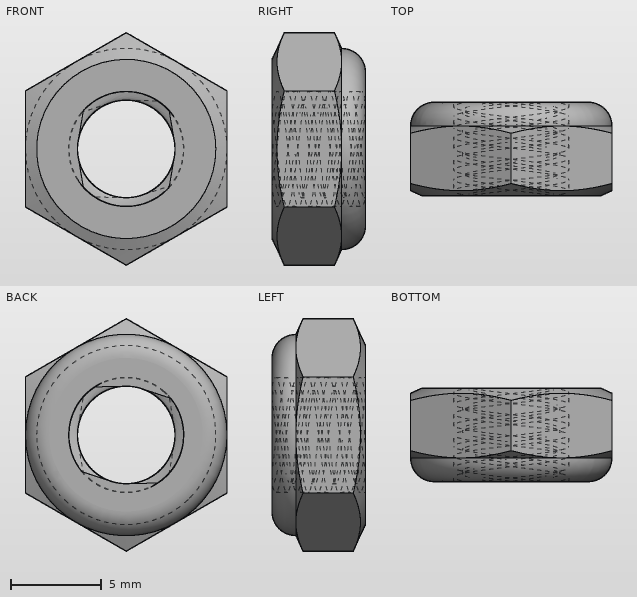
import cadquery as cq
import math

corner_diameter = 12.83
corner_radius = corner_diameter / 2
flat_radius = corner_radius * math.cos(math.pi / 6)
nut_depth = 5.17
hex_depth = 3.85
bearing_radius = 4.94
front_chamfer_depth = 0.68
chamfer_slope = front_chamfer_depth / (corner_radius - bearing_radius)
back_chamfer_depth = chamfer_slope * (corner_radius - flat_radius)
collar_round = nut_depth - hex_depth

minor_radius = 5.39 / 2
major_radius = 6.35 / 2
thread_starts = 2
thread_lead = 2.32
root_half_angle = 48.0
mouth_half_angle = 77.0
first_groove_angle = 90


def revolve_about_y(profile):
    """Turn a closed radius/Y profile about the nut axis."""
    return profile.close().revolve(360, (0, 0, 0), (0, 1, 0))


def hex_body():
    """Hexagon with corners on Z, both ends bevelled by cones."""
    prism = (
        cq.Workplane("XZ")
        .polygon(6, corner_diameter)
        .extrude(-hex_depth)
        .rotate((0, 0, 0), (0, 1, 0), 30)
    )
    bevel = revolve_about_y(
        cq.Workplane("XY")
        .lineTo(bearing_radius, 0)
        .lineTo(corner_radius, front_chamfer_depth)
        .lineTo(corner_radius, hex_depth - back_chamfer_depth)
        .lineTo(flat_radius, hex_depth)
        .lineTo(0, hex_depth)
    )
    return prism.intersect(bevel)


def collar():
    """Round locking collar with a quarter-circle outer edge."""
    flat_rim = flat_radius - collar_round
    middle = collar_round * math.sqrt(0.5)
    return revolve_about_y(
        cq.Workplane("XY")
        .moveTo(0, hex_depth)
        .lineTo(flat_radius, hex_depth)
        .threePointArc((flat_rim + middle, hex_depth + middle), (flat_rim, nut_depth))
        .lineTo(0, nut_depth)
    )


def polar(radius, degrees):
    angle = math.radians(degrees)
    return (radius * math.cos(angle), radius * math.sin(angle))


def threaded_bore():
    """Bore section with one lobe per start, twisted along the axis into a thread."""
    start_step = 360 / thread_starts
    section = cq.Workplane("XZ").moveTo(*polar(minor_radius, first_groove_angle - mouth_half_angle))
    for start in range(thread_starts):
        groove_angle = first_groove_angle + start * start_step
        crest_angle = groove_angle + start_step / 2
        next_mouth_angle = groove_angle + start_step - mouth_half_angle
        section = (
            section
            .lineTo(*polar(major_radius, groove_angle - root_half_angle))
            .threePointArc(
                polar(major_radius, groove_angle),
                polar(major_radius, groove_angle + root_half_angle),
            )
            .lineTo(*polar(minor_radius, groove_angle + mouth_half_angle))
            .threePointArc(
                polar(minor_radius, crest_angle),
                polar(minor_radius, next_mouth_angle),
            )
        )
    twist_angle = 360 * nut_depth / thread_lead
    return section.close().twistExtrude(-nut_depth, twist_angle)


result = hex_body().union(collar()).cut(threaded_bore())